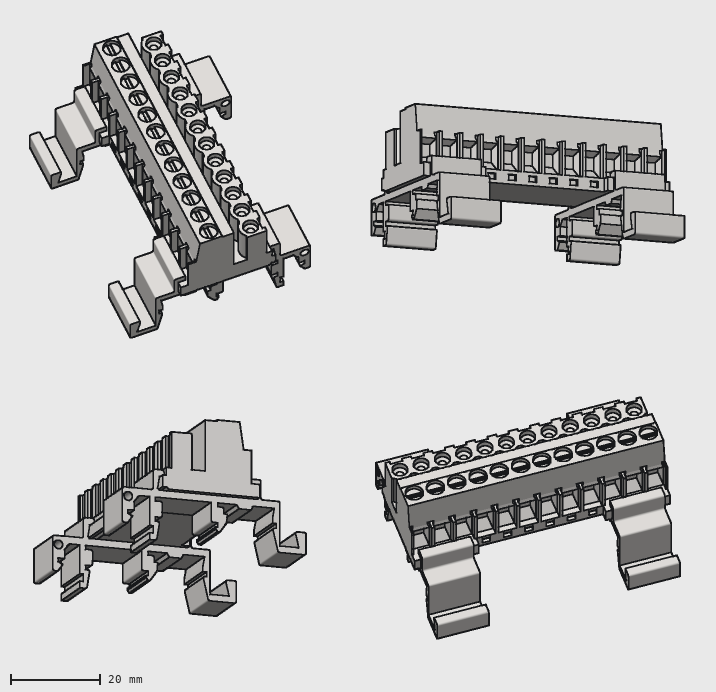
import cadquery as cq

LENGTH = 60.0
DEPTH = 43.7
HEIGHT = 28.8
POLES = 12
PITCH = LENGTH / POLES
POLE_CENTRES = [PITCH * (i + 0.5) for i in range(POLES)]

CLIP_WIDTH = 12.1
CLIP_INSET = 1.5
CLIP_STARTS = [CLIP_INSET, LENGTH - CLIP_INSET - CLIP_WIDTH]
DECK_TOP = 11.75
DECK_THICKNESS = 1.7
DECK_BOTTOM = DECK_TOP - DECK_THICKNESS
DECK_FRONT = 6.25
CORNER_RADIUS = 0.5
PAD_Z = DECK_BOTTOM - 0.9
GROOVE_TOP = 6.6
NOTCH_TOP = 5.5
NOTCH_BOTTOM = 4.5
REAR_HOLE_DIAMETER = 2.0
REAR_HOLE_Y = 42.3
REAR_HOLE_Z = 9.7

FRONT_Y = 13.5
FOOT_FRONT_Y = 11.65
FOOT_LENGTH = 15.1
LEDGE_Z = 14.8
STEP_Z = 16.75
ENTRY_FACE_Y = 15.0
ENTRY_LIP_TOP = 21.9
ENTRY_LIP_Y = 15.3
HOUSING_FRONT_Y = 16.3
HOUSING_STEP_Y = 21.7
HOUSING_BACK_Y = 24.55
HOUSING_STEP = 0.3
BASE_BACK_Y = 33.05
BACK_Y = 33.8
FLANGE_BACK_Y = 34.6
FLANGE_TOP = 14.95
FLANGE_BOTTOM = 12.25

WALL_FRONT_Y = 27.8
WALL_BACK_Y = 32.5
WALL_TOP = 25.1
SOCKET_Y = 29.65
BOSS_RADIUS = 2.75
SOCKET_DIAMETER = 3.5
SOCKET_FLOOR_DIAMETER = 1.8
SOCKET_DEPTH = 1.45
SOCKET_CONE_DEPTH = 0.4
BACK_NOTCH_WIDTH = 2.9
BACK_NOTCH_DEPTH = 0.65

SCREW_Y = 19.5
SCREW_DIAMETER = 4.0
SCREW_RECESS = 1.1
SLOT_WIDTH = 0.9
SLOT_DEPTH = 0.6

RIB_TOP = 22.5
RIB_WIDTH = 0.7
RIB_ROOT_WIDTH = 1.5
ENTRY_WALL = 0.9
ENTRY_TOP = 21.05
ENTRY_DEPTH = 2.1
ENTRY_FLOOR_WIDTH = 2.8
ENTRY_FLOOR_BOTTOM = 17.0
ENTRY_FLOOR_TOP = 20.0

WINDOW_POLES = POLE_CENTRES[3:9]
WINDOW_WIDTH = 1.85
WINDOW_BOTTOM = 12.65
WINDOW_HEIGHT = 1.3
WINDOW_DEPTH = 0.9


def box(x_range, y_range, z_range):
    """Box between two limits along each axis."""
    size = [limits[1] - limits[0] for limits in (x_range, y_range, z_range)]
    corner = (x_range[0], y_range[0], z_range[0])
    return cq.Workplane("XY").box(*size, centered=False).translate(corner)


def slab(outline, length, rounded=()):
    """Extrude a closed (Y, Z) outline along X and round the listed corners."""
    body = cq.Workplane("YZ").polyline(outline).close().extrude(length)
    for y, z in rounded:
        corner = cq.NearestToPointSelector((length / 2, y, z))
        body = body.edges("|X").edges(corner).fillet(CORNER_RADIUS)
    return body


def row_of(piece, x_places):
    """Copies of one piece along X, joined where they overlap."""
    row = piece.translate((x_places[0], 0, 0))
    for x in x_places[1:]:
        row = row.union(piece.translate((x, 0, 0)))
    return row


def clip_deck():
    """Deck with a channel wall on each side that hooks over the block."""
    front_wall_y = 10.75
    front_wall_top = 16.3
    rear_wall_y = 36.35
    rear_wall_top = 16.5
    front_corners = [
        (DECK_FRONT, DECK_TOP),
        (front_wall_y, DECK_TOP),
        (front_wall_y, front_wall_top),
        (FRONT_Y, front_wall_top),
    ]
    rear_corners = [
        (BACK_Y, rear_wall_top),
        (rear_wall_y, rear_wall_top),
        (rear_wall_y, DECK_TOP),
        (DEPTH, DECK_TOP),
    ]
    channel = [
        (FRONT_Y, LEDGE_Z),
        (FOOT_FRONT_Y, LEDGE_Z),
        (FOOT_FRONT_Y, DECK_TOP),
        (34.85, DECK_TOP),
        (35.3, FLANGE_BOTTOM),
        (34.85, FLANGE_TOP),
        (BACK_Y, FLANGE_TOP),
    ]
    underside = [(DEPTH, DECK_BOTTOM), (DECK_FRONT, DECK_BOTTOM)]
    outline = front_corners + channel + rear_corners + underside
    return slab(outline, CLIP_WIDTH, rounded=front_corners + rear_corners)


def front_hook():
    """Front leg that turns forward and ends in an upright hook."""
    back_y = 8.0
    groove_y = 7.1
    floor_back_y = 6.65
    floor_top = 1.5
    hook_top = 5.15
    hook_back_y = 2.65
    outer_corners = [
        (floor_back_y, 0),
        (0, 0),
        (0, hook_top),
        (hook_back_y, hook_top),
    ]
    outline = outer_corners + [
        (1.75, floor_top),
        (DECK_FRONT, floor_top),
        (DECK_FRONT, DECK_BOTTOM),
        (7.55, DECK_BOTTOM),
        (back_y, 7.8),
        (back_y, GROOVE_TOP),
        (groove_y, GROOVE_TOP),
        (groove_y, NOTCH_TOP),
        (back_y, NOTCH_TOP),
    ]
    return slab(outline, CLIP_WIDTH, rounded=outer_corners + [(back_y, NOTCH_TOP)])


def middle_leg():
    """Snap leg under the middle of the deck."""
    front_y = 19.55
    neck_y = 21.0
    back_y = 22.55
    barb_front_y = 18.7
    barb_top = 7.7
    tip_z = 3.4
    outline = [
        (neck_y, DECK_BOTTOM),
        (neck_y, PAD_Z),
        (front_y, PAD_Z),
        (front_y, barb_top),
        (barb_front_y, barb_top),
        (18.9, 5.6),
        (20.45, tip_z),
        (21.05, tip_z),
        (21.5, 4.0),
        (21.5, NOTCH_BOTTOM),
        (neck_y, NOTCH_BOTTOM),
        (neck_y, NOTCH_TOP),
        (back_y, NOTCH_TOP),
        (back_y, DECK_BOTTOM),
    ]
    return slab(outline, CLIP_WIDTH, rounded=[(front_y, PAD_Z), (back_y, NOTCH_TOP)])


def long_leg():
    """Long rear snap leg with a block-shaped shoulder and a hooked tip."""
    front_y = 34.2
    neck_y = 35.8
    recess_y = 36.35
    back_y = 37.2
    tip_z = 0.2
    tip_front_y = 35.5
    barb_front_y = 34.8
    outline = [
        (neck_y, DECK_BOTTOM),
        (neck_y, PAD_Z),
        (front_y, PAD_Z),
        (front_y, NOTCH_TOP),
        (neck_y, NOTCH_TOP),
        (neck_y, NOTCH_BOTTOM),
        (barb_front_y, NOTCH_BOTTOM),
        (tip_front_y, tip_z),
        (back_y, tip_z),
        (back_y, 1.75),
        (recess_y, 1.75),
        (recess_y, 3.4),
        (back_y, 3.4),
        (back_y, DECK_BOTTOM),
    ]
    rounded = [
        (front_y, PAD_Z),
        (front_y, NOTCH_TOP),
        (barb_front_y, NOTCH_BOTTOM),
        (tip_front_y, tip_z),
    ]
    return slab(outline, CLIP_WIDTH, rounded)


def rear_leg():
    """Short leg at the back edge with a hooked tip."""
    front_y = 40.85
    groove_y = 42.35
    tip_z = 3.6
    outline = [
        (39.6, DECK_BOTTOM),
        (front_y, 8.65),
        (front_y, GROOVE_TOP),
        (groove_y, GROOVE_TOP),
        (groove_y, 5.75),
        (41.2, 5.2),
        (groove_y, tip_z),
        (DEPTH, tip_z),
        (DEPTH, DECK_BOTTOM),
    ]
    return slab(outline, CLIP_WIDTH, rounded=[(DEPTH, tip_z)])


def rear_hole():
    """Cross hole through the back corner of the clip."""
    hole = cq.Workplane("YZ").center(REAR_HOLE_Y, REAR_HOLE_Z)
    return hole.circle(REAR_HOLE_DIAMETER / 2).extrude(CLIP_WIDTH)


def deck_pad():
    """Shallow pad under the front half of the deck."""
    return slab([
        (12.6, DECK_BOTTOM),
        (13.1, PAD_Z),
        (15.95, PAD_Z),
        (16.5, DECK_BOTTOM),
    ], CLIP_WIDTH)


def rail_clip():
    """Complete clip, starting at X = 0."""
    clip = clip_deck()
    for piece in (front_hook(), middle_leg(), long_leg(), rear_leg(), deck_pad()):
        clip = clip.union(piece)
    return clip.cut(rear_hole())


def block_body():
    """Base, screw housing and rear wall as one constant section."""
    return slab([
        (FRONT_Y, DECK_TOP),
        (FRONT_Y, LEDGE_Z),
        (ENTRY_FACE_Y, LEDGE_Z),
        (ENTRY_FACE_Y, ENTRY_TOP),
        (ENTRY_LIP_Y, ENTRY_LIP_TOP),
        (HOUSING_FRONT_Y, HEIGHT),
        (HOUSING_STEP_Y, HEIGHT),
        (HOUSING_STEP_Y, HEIGHT - HOUSING_STEP),
        (HOUSING_BACK_Y, HEIGHT - HOUSING_STEP),
        (HOUSING_BACK_Y, STEP_Z),
        (WALL_FRONT_Y, STEP_Z),
        (WALL_FRONT_Y, WALL_TOP),
        (WALL_BACK_Y, WALL_TOP),
        (WALL_BACK_Y, STEP_Z),
        (BACK_Y, STEP_Z),
        (BACK_Y, FLANGE_TOP),
        (FLANGE_BACK_Y, FLANGE_TOP),
        (FLANGE_BACK_Y, FLANGE_BOTTOM),
        (BACK_Y, FLANGE_BOTTOM),
        (BASE_BACK_Y, DECK_TOP),
    ], LENGTH)


def feet():
    """Foot at each end, held under the front hooks of the clips."""
    y_range = (FOOT_FRONT_Y, FRONT_Y)
    z_range = (DECK_TOP, LEDGE_Z)
    left = box((0, FOOT_LENGTH), y_range, z_range)
    right = box((LENGTH - FOOT_LENGTH, LENGTH), y_range, z_range)
    return left.union(right)


def ribs():
    """Upright ribs between the wire entries, flared where they meet the housing.

    The ribs at both ends are cut in half by the block's end faces.
    """
    side = RIB_WIDTH / 2
    root = RIB_ROOT_WIDTH / 2
    outline = [
        (-side, FRONT_Y),
        (side, FRONT_Y),
        (side, HOUSING_FRONT_Y),
        (-side, HOUSING_FRONT_Y),
    ]
    flare_outline = [
        (-side, ENTRY_FACE_Y),
        (side, ENTRY_FACE_Y),
        (root, ENTRY_LIP_Y),
        (root, HOUSING_FRONT_Y),
        (-root, HOUSING_FRONT_Y),
        (-root, ENTRY_LIP_Y),
    ]
    rib = cq.Workplane("XY", origin=(0, 0, LEDGE_Z)).polyline(outline).close().extrude(RIB_TOP - LEDGE_Z)
    flare_plane = cq.Workplane("XY", origin=(0, 0, ENTRY_TOP))
    flare = flare_plane.polyline(flare_outline).close().extrude(RIB_TOP - ENTRY_TOP)
    rib = rib.union(flare)
    row = row_of(rib, [PITCH * i for i in range(POLES + 1)])
    return row.intersect(box((0, LENGTH), (FRONT_Y, HOUSING_FRONT_Y), (LEDGE_Z, RIB_TOP)))


def wire_entries():
    """Tapered rectangular pockets that narrow toward the back."""
    mouth_width = PITCH - ENTRY_WALL
    mouth_height = ENTRY_TOP - LEDGE_Z
    floor_height = ENTRY_FLOOR_TOP - ENTRY_FLOOR_BOTTOM
    mouth_z = (ENTRY_TOP + LEDGE_Z) / 2
    floor_z = (ENTRY_FLOOR_TOP + ENTRY_FLOOR_BOTTOM) / 2
    plane = cq.Workplane("XZ", origin=(0, ENTRY_FACE_Y, mouth_z))
    mouth = plane.rect(mouth_width, mouth_height).workplane(offset=-ENTRY_DEPTH)
    funnel = mouth.center(0, floor_z - mouth_z).rect(ENTRY_FLOOR_WIDTH, floor_height).loft(ruled=True)
    return row_of(funnel, POLE_CENTRES)


def bosses():
    """Round fronts of the test sockets, standing proud of the rear wall."""
    floor = cq.Workplane("XY", origin=(0, SOCKET_Y, STEP_Z))
    boss = floor.circle(BOSS_RADIUS).extrude(WALL_TOP - STEP_Z)
    row = row_of(boss, POLE_CENTRES)
    return row.intersect(box((0, LENGTH), (HOUSING_BACK_Y, WALL_BACK_Y), (STEP_Z, WALL_TOP)))


def sockets():
    """Round recess in the top of each test socket, with a shallow conical bottom."""
    floor_z = WALL_TOP - SOCKET_DEPTH - SOCKET_CONE_DEPTH
    floor = cq.Workplane("XY", origin=(0, SOCKET_Y, floor_z)).circle(SOCKET_FLOOR_DIAMETER / 2)
    cone = floor.workplane(offset=SOCKET_CONE_DEPTH).circle(SOCKET_DIAMETER / 2).loft()
    recess = cone.faces(">Z").workplane().circle(SOCKET_DIAMETER / 2).extrude(SOCKET_DEPTH)
    return row_of(recess, POLE_CENTRES)


def back_notches():
    """Upright notches in the back of the rear wall, one per pole."""
    places = [(x, WALL_BACK_Y) for x in POLE_CENTRES]
    plane = cq.Workplane("XY", origin=(0, 0, STEP_Z)).pushPoints(places)
    return plane.rect(BACK_NOTCH_WIDTH, 2 * BACK_NOTCH_DEPTH).extrude(WALL_TOP - STEP_Z)


def screws():
    """Screw recesses, with a slot across each sunken screw head."""
    places = [(x, SCREW_Y) for x in POLE_CENTRES]
    head_z = HEIGHT - SCREW_RECESS
    slot_z = head_z - SLOT_DEPTH
    bottom_plane = cq.Workplane("XY", origin=(0, 0, slot_z))
    circles = bottom_plane.pushPoints(places).circle(SCREW_DIAMETER / 2)
    recesses = circles.extrude(SCREW_RECESS + SLOT_DEPTH)
    y_ranges = [
        (SCREW_Y - SCREW_DIAMETER, SCREW_Y - SLOT_WIDTH / 2),
        (SCREW_Y + SLOT_WIDTH / 2, SCREW_Y + SCREW_DIAMETER),
    ]
    for y_range in y_ranges:
        recesses = recesses.cut(box((0, LENGTH), y_range, (slot_z, head_z)))
    return recesses


def windows():
    """Shallow windows in the front face between the two feet."""
    places = [(x, WINDOW_BOTTOM + WINDOW_HEIGHT / 2) for x in WINDOW_POLES]
    plane = cq.Workplane("XZ", origin=(0, FRONT_Y, 0)).pushPoints(places)
    return plane.rect(WINDOW_WIDTH, WINDOW_HEIGHT).extrude(-WINDOW_DEPTH)


def terminal_block():
    block = block_body().union(feet()).union(ribs()).union(bosses())
    for pocket in (wire_entries(), sockets(), back_notches(), screws(), windows()):
        block = block.cut(pocket)
    return block


result = terminal_block()
for clip_start in CLIP_STARTS:
    result = result.union(rail_clip().translate((clip_start, 0, 0)))